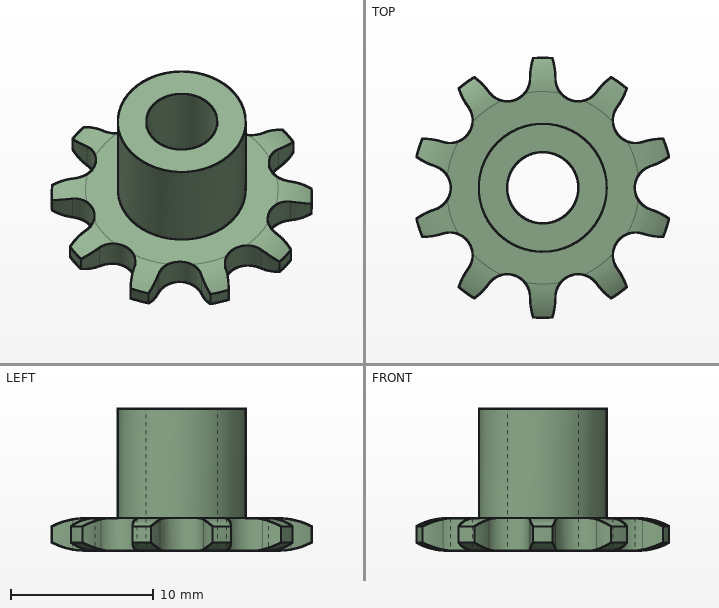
import cadquery as cq
import math

tooth_count = 10
tip_radius = 9.15
tip_half_width = 0.68
root_radius = 6.48
seat_radius = 1.6
plate_thickness = 2.3
tip_thickness = 1.13
flat_face_radius = 6.77
total_height = 10.0
hub_diameter = 9.0
bore_diameter = 5.0

half_pitch = math.pi / tooth_count
seat_centre_radius = root_radius + seat_radius
flank_start_radius = seat_centre_radius * math.cos(half_pitch)
flank_half_width = seat_centre_radius * math.sin(half_pitch) - seat_radius
tip_corner_radius = math.sqrt(tip_radius**2 - tip_half_width**2)


def turned(along, across, angle):
    """Point given along and across a line from the centre at the given angle."""
    return (
        along * math.cos(angle) - across * math.sin(angle),
        along * math.sin(angle) + across * math.cos(angle),
    )


def make_toothed_plate():
    """Extruded tooth outline: tip arc, flank, roller seat and next flank, repeated."""
    first_angle = math.pi / 2
    outline = cq.Workplane("XY").moveTo(*turned(tip_corner_radius, -tip_half_width, first_angle))
    for index in range(tooth_count):
        angle = first_angle + index * 2 * half_pitch
        next_angle = angle + 2 * half_pitch
        flank_start = turned(flank_start_radius, flank_half_width, angle)
        next_flank_start = turned(flank_start_radius, -flank_half_width, next_angle)

        flank_length = tip_corner_radius - flank_start_radius
        flank_narrowing = flank_half_width - tip_half_width
        flank_radius = (flank_length**2 + flank_narrowing**2) / (2 * flank_narrowing)
        half_sweep = math.asin(flank_length / flank_radius) / 2
        middle_along = flank_start_radius + flank_radius * math.sin(half_sweep)
        middle_across = flank_half_width - flank_radius * (1 - math.cos(half_sweep))

        outline = (
            outline
            .threePointArc(
                turned(tip_radius, 0, angle),
                turned(tip_corner_radius, tip_half_width, angle),
            )
            .threePointArc(turned(middle_along, middle_across, angle), flank_start)
            .threePointArc(turned(root_radius, 0, angle + half_pitch), next_flank_start)
            .threePointArc(
                turned(middle_along, -middle_across, next_angle),
                turned(tip_corner_radius, -tip_half_width, next_angle),
            )
        )
    return outline.close().extrude(plate_thickness)


def make_rounded_disc():
    """Turned disc whose faces curve toward each other to thin the tooth tips."""
    tip_bottom = (plate_thickness - tip_thickness) / 2
    tip_top = plate_thickness - tip_bottom
    run = tip_radius - flat_face_radius
    face_curve_radius = (run**2 + tip_bottom**2) / (2 * tip_bottom)
    half_sweep = math.asin(run / face_curve_radius) / 2
    middle_radius = flat_face_radius + face_curve_radius * math.sin(half_sweep)
    middle_drop = face_curve_radius * (1 - math.cos(half_sweep))
    return (
        cq.Workplane("XZ")
        .lineTo(flat_face_radius, 0)
        .threePointArc((middle_radius, middle_drop), (tip_radius, tip_bottom))
        .lineTo(tip_radius, tip_top)
        .threePointArc(
            (middle_radius, plate_thickness - middle_drop),
            (flat_face_radius, plate_thickness),
        )
        .lineTo(0, plate_thickness)
        .close()
        .revolve(360, (0, 0), (0, 1))
    )


sprocket = make_toothed_plate().intersect(make_rounded_disc())
hub = cq.Workplane("XY").circle(hub_diameter / 2).extrude(total_height)
bore = cq.Workplane("XY").circle(bore_diameter / 2).extrude(total_height)

result = sprocket.union(hub).cut(bore)